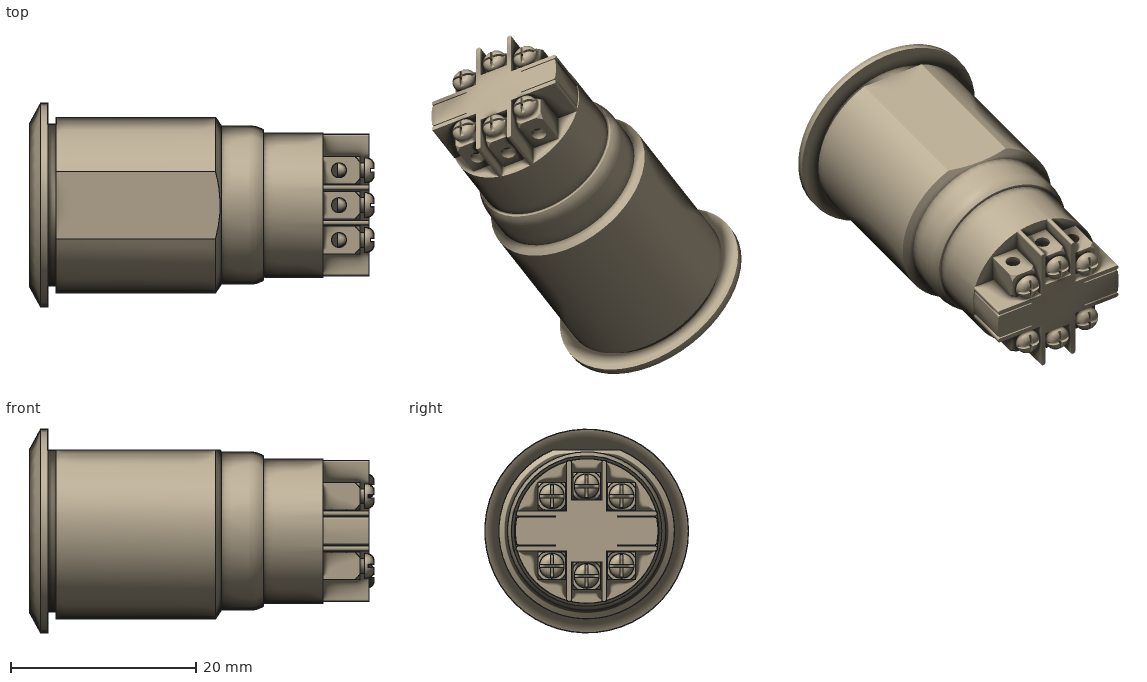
import cadquery as cq
import math


face_diameter = 17.5
bezel_diameter = 22.0
bezel_cone_end = 1.23
bezel_end = 2.0
barrel_diameter = 18.95
barrel_start = 2.9
barrel_end = 20.1
barrel_flat_height = 8.75

collar_diameter = 17.1
collar_start = 20.75
collar_round_start = 23.8
collar_end = 25.3
collar_end_diameter = 16.25
sleeve_diameter = 15.6
sleeve_end = 31.75

base_end = 36.7
rib_inner = 1.65
rib_outer = 2.15
rib_tip = 7.65
rib_tip_round = 0.205
web_diameter = 15.4
web_edge_round = 0.22
core_reach = 3.35

block_size = 2.98
block_end = 35.72
block_cone_start = 35.15
block_cone_end_diameter = 3.45
terminal_pitch = 3.75
middle_terminal_height = core_reach + block_size / 2
wire_hole_diameter = 1.6
wire_hole_x = 33.45

screw_diameter = 1.6
screw_tip = 33.3
head_diameter = 2.7
head_start = 36.2
head_dome_start = 36.43
screw_end = 37.25
slot_width = 0.35
slot_depth = 0.67
cross_slot_depth = 0.37


def box_between(low, high):
    """Box given by two opposite corners."""
    size = [b - a for a, b in zip(low, high)]
    return cq.Workplane("XY").box(*size, centered=False).translate(low)


def make_bezel():
    return (
        cq.Workplane("XY")
        .lineTo(0, face_diameter / 2)
        .lineTo(bezel_cone_end, bezel_diameter / 2)
        .lineTo(bezel_end, bezel_diameter / 2)
        .lineTo(bezel_end, face_diameter / 2)
        .lineTo(barrel_start, face_diameter / 2)
        .lineTo(barrel_start, 0)
        .close()
        .revolve(360, (0, 0, 0), (1, 0, 0))
    )


def make_barrel():
    """Barrel with a chamfered rear edge and one flat on top."""
    barrel = (
        cq.Workplane("XY")
        .moveTo(barrel_start, 0)
        .lineTo(barrel_start, barrel_diameter / 2)
        .lineTo(barrel_end, barrel_diameter / 2)
        .lineTo(collar_start, collar_diameter / 2)
        .lineTo(collar_start, 0)
        .close()
        .revolve(360, (0, 0, 0), (1, 0, 0))
    )
    above_flat = box_between(
        (barrel_start, -barrel_diameter, barrel_flat_height),
        (collar_start, barrel_diameter, barrel_diameter),
    )
    return barrel.cut(above_flat)


def make_collar_and_sleeve():
    return (
        cq.Workplane("XY")
        .moveTo(collar_start, 0)
        .lineTo(collar_start, collar_diameter / 2)
        .lineTo(collar_round_start, collar_diameter / 2)
        .tangentArcPoint((collar_end, collar_end_diameter / 2), relative=False)
        .lineTo(collar_end, sleeve_diameter / 2)
        .lineTo(sleeve_end, sleeve_diameter / 2)
        .lineTo(sleeve_end, 0)
        .close()
        .revolve(360, (0, 0, 0), (1, 0, 0))
    )


def make_ribs():
    """Two ribs spanning Y and two spanning Z, all with rounded tips."""
    rib = box_between((sleeve_end, -rib_tip, rib_inner), (base_end, rib_tip, rib_outer))
    rib = rib.edges("|X").fillet(rib_tip_round)
    pair = rib.union(rib.mirror("XY"))
    return pair.union(pair.rotate((0, 0, 0), (1, 0, 0), 90))


def make_core():
    """Square-armed cross that fills the space between the ribs near the axis."""
    across = box_between(
        (sleeve_end, -core_reach, -rib_outer),
        (base_end, core_reach, rib_outer),
    )
    return across.union(across.rotate((0, 0, 0), (1, 0, 0), 90))


def make_web():
    """Bar along Y between the horizontal ribs, with cylindrical ends and rounded end edges."""
    half = block_size / 2
    strip = box_between((sleeve_end, -web_diameter, -half), (base_end, web_diameter, half))
    web = (
        cq.Workplane("YZ", origin=(sleeve_end, 0, 0))
        .circle(web_diameter / 2)
        .extrude(base_end - sleeve_end)
        .intersect(strip)
    )
    return web.edges("|X and (>Z or <Z)").fillet(web_edge_round)


def make_block(y, z):
    """Square terminal block with a coned rear end and a vertical wire hole."""
    half = block_size / 2
    corner_radius = half * math.sqrt(2)
    block = box_between((sleeve_end, y - half, z - half), (block_end, y + half, z + half))
    envelope = (
        cq.Workplane("XY")
        .moveTo(sleeve_end, 0)
        .lineTo(sleeve_end, corner_radius)
        .lineTo(block_cone_start, corner_radius)
        .lineTo(block_end, block_cone_end_diameter / 2)
        .lineTo(block_end, 0)
        .close()
        .revolve(360, (0, 0, 0), (1, 0, 0))
        .translate((0, y, z))
    )
    hole = (
        cq.Workplane("XY", origin=(wire_hole_x, y, z - half))
        .circle(wire_hole_diameter / 2)
        .extrude(block_size)
    )
    return block.intersect(envelope).cut(hole)


def make_screw(y, z):
    """Dome-headed screw along X with crossed slots of two depths."""
    radius = head_diameter / 2
    half_slot = slot_width / 2
    dome_height = screw_end - head_dome_start
    dome_lean = dome_height * math.sqrt(0.5)
    flat_radius = radius - dome_height
    screw = (
        cq.Workplane("XY")
        .moveTo(screw_tip, 0)
        .lineTo(screw_tip, screw_diameter / 2)
        .lineTo(head_start, screw_diameter / 2)
        .lineTo(head_start, radius)
        .lineTo(head_dome_start, radius)
        .threePointArc((head_dome_start + dome_lean, flat_radius + dome_lean), (screw_end, flat_radius))
        .lineTo(screw_end, 0)
        .close()
        .revolve(360, (0, 0, 0), (1, 0, 0))
    )
    slot = box_between(
        (screw_end - slot_depth, -radius, -half_slot),
        (screw_end, radius, half_slot),
    )
    cross_slot = box_between(
        (screw_end - cross_slot_depth, -half_slot, -radius),
        (screw_end, half_slot, radius),
    )
    return screw.cut(slot).cut(cross_slot).translate((0, y, z))


terminal_places = []
for side in (1, -1):
    terminal_places += [
        (-terminal_pitch, side * terminal_pitch),
        (0, side * middle_terminal_height),
        (terminal_pitch, side * terminal_pitch),
    ]

result = make_bezel().union(make_barrel()).union(make_collar_and_sleeve())
result = result.union(make_core()).union(make_ribs()).union(make_web())
for y, z in terminal_places:
    result = result.union(make_block(y, z))
    result = result.union(make_screw(y, z))